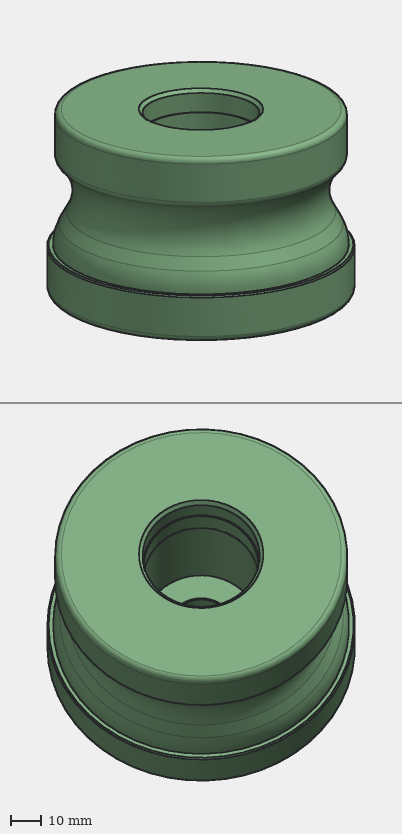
import cadquery as cq
import math

height = 63.5
base_radius = 50.8
base_height = 16.1
base_bottom_fillet = 2.0
base_top_chamfer = 0.5
flange_radius = 48.3
flange_top_fillet = 2.0
flange_lower_fillet = 2.5

neck_arc_radius = 14.9
waist_radius = 42.5
waist_z = 35.2
shoulder_radius = 48.9

bore_radius = 18.9
bore_floor_z = base_height
counterbore_radius = 19.3
counterbore_depth = 15.8
mouth_chamfer = 1.2
hole_radius = 10.0
hole_chamfer = 0.3

sleeve_top_depth = counterbore_depth / 2


def point_on_circle(center, radius, angle):
    """Point (r, z) at an angle measured from the outward radial direction."""
    return (center[0] + radius * math.cos(angle), center[1] + radius * math.sin(angle))


def make_outer_form():
    """Solid of revolution: base, waisted neck and top flange."""
    waist_center = (waist_radius + neck_arc_radius, waist_z)
    shoulder_center = (shoulder_radius - neck_arc_radius, base_height)

    center_dr = waist_center[0] - shoulder_center[0]
    center_dz = waist_center[1] - shoulder_center[1]
    center_distance = math.hypot(center_dr, center_dz)
    cone_angle = math.atan2(center_dz, center_dr) - math.acos(2 * neck_arc_radius / center_distance)
    shoulder_end = point_on_circle(shoulder_center, neck_arc_radius, cone_angle)
    shoulder_middle = point_on_circle(shoulder_center, neck_arc_radius, cone_angle / 2)
    waist_start = point_on_circle(waist_center, neck_arc_radius, math.pi + cone_angle)

    fillet_center_r = flange_radius - flange_lower_fillet
    fillet_dr = waist_center[0] - fillet_center_r
    fillet_dz = math.sqrt((neck_arc_radius + flange_lower_fillet) ** 2 - fillet_dr**2)
    fillet_center = (fillet_center_r, waist_z + fillet_dz)
    contact_angle = -math.atan2(fillet_dz, fillet_dr)
    waist_end = point_on_circle(waist_center, neck_arc_radius, math.pi + contact_angle)
    fillet_middle = point_on_circle(fillet_center, flange_lower_fillet, contact_angle / 2)

    form = (
        cq.Workplane("XZ")
        .moveTo(0, 0)
        .lineTo(base_radius, 0)
        .lineTo(base_radius, base_height)
        .lineTo(shoulder_radius, base_height)
        .threePointArc(shoulder_middle, shoulder_end)
        .lineTo(*waist_start)
        .threePointArc((waist_radius, waist_z), waist_end)
        .threePointArc(fillet_middle, (flange_radius, fillet_center[1]))
        .lineTo(flange_radius, height)
        .lineTo(0, height)
        .close()
        .revolve(360, (0, 0, 0), (0, 1, 0))
    )
    form = form.faces("<Z").edges().fillet(base_bottom_fillet)
    form = form.faces(">Z").edges().fillet(flange_top_fillet)
    base_top_edge = cq.selectors.RadiusNthSelector(-1)
    base_top_face = cq.selectors.NearestToPointSelector((base_radius, 0, base_height))
    return form.faces(base_top_face).edges(base_top_edge).chamfer(base_top_chamfer)


def make_bore_cutter():
    """Stepped bore with a chamfered mouth and a smaller chamfered through hole."""
    counterbore_z = height - counterbore_depth
    return (
        cq.Workplane("XZ")
        .moveTo(0, 0)
        .lineTo(hole_radius, 0)
        .lineTo(hole_radius, bore_floor_z - hole_chamfer)
        .lineTo(hole_radius + hole_chamfer, bore_floor_z)
        .lineTo(bore_radius, bore_floor_z)
        .lineTo(bore_radius, counterbore_z)
        .lineTo(counterbore_radius, counterbore_z)
        .lineTo(counterbore_radius, height - mouth_chamfer)
        .lineTo(counterbore_radius + mouth_chamfer, height)
        .lineTo(0, height)
        .close()
        .revolve(360, (0, 0, 0), (0, 1, 0))
    )


def make_housing():
    return make_outer_form().cut(make_bore_cutter())


def make_sleeve():
    """Thin sleeve filling the lower part of the counterbore, flush with the bore below."""
    return (
        cq.Workplane("XY")
        .workplane(offset=height - counterbore_depth)
        .circle(counterbore_radius)
        .circle(bore_radius)
        .extrude(counterbore_depth - sleeve_top_depth)
    )


housing = make_housing()
sleeve = make_sleeve()
result = cq.Compound.makeCompound([housing.val(), sleeve.val()])